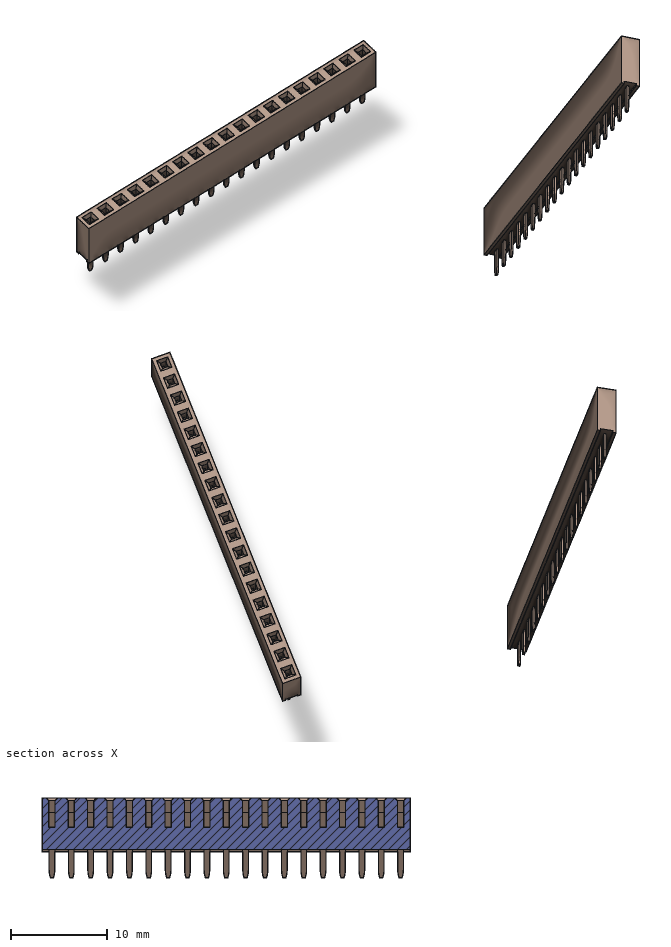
import cadquery as cq
import math

contact_count = 19
length = 38.0
width = 2.0
total_height = 8.3
pitch = length / contact_count

housing_height = 5.6
channel_width = 1.33
channel_depth = 0.23

mouth_size = 1.2
socket_size = 0.6
funnel_depth = 0.3
socket_depth = 3.05

contact_width = 0.6
contact_thickness = 0.2
blade_height = 1.52
tip_width = 0.32
tip_length = 0.85

contact_positions = [(0, (i - (contact_count - 1) / 2) * pitch) for i in range(contact_count)]
socket_floor = housing_height - socket_depth
pin_bottom = housing_height - total_height


def make_housing():
    """Long bar with a shallow lengthwise channel along its underside."""
    bar = cq.Workplane("XY").box(width, length, housing_height, centered=(True, True, False))
    channel = cq.Workplane("XY").box(channel_width, length, channel_depth, centered=(True, True, False))
    return bar.cut(channel)


def make_socket():
    """Cavity of one socket: a square funnel leading into a square well."""
    funnel = (
        cq.Workplane("XY", origin=(0, 0, housing_height))
        .rect(mouth_size, mouth_size)
        .workplane(offset=-funnel_depth)
        .rect(socket_size, socket_size)
        .loft(ruled=True)
    )
    well = cq.Workplane("XY", origin=(0, 0, socket_floor)).box(
        socket_size, socket_size, socket_depth - funnel_depth, centered=(True, True, False)
    )
    return funnel.union(well)


def make_contact():
    """Flat strip whose lower sides curve inward, tangent to the straight sides, to a narrow tip."""
    shoulder = pin_bottom + tip_length
    blade_top = socket_floor + blade_height
    taper = (contact_width - tip_width) / 2
    arc_radius = (tip_length**2 + taper**2) / (2 * taper)
    arc_half_angle = math.asin(tip_length / arc_radius) / 2
    arc_middle_y = contact_width / 2 - arc_radius * (1 - math.cos(arc_half_angle))
    arc_middle_z = shoulder - arc_radius * math.sin(arc_half_angle)
    return (
        cq.Workplane("YZ")
        .moveTo(-contact_width / 2, shoulder)
        .lineTo(-contact_width / 2, blade_top)
        .lineTo(contact_width / 2, blade_top)
        .lineTo(contact_width / 2, shoulder)
        .threePointArc((arc_middle_y, arc_middle_z), (tip_width / 2, pin_bottom))
        .lineTo(-tip_width / 2, pin_bottom)
        .threePointArc((-arc_middle_y, arc_middle_z), (-contact_width / 2, shoulder))
        .close()
        .extrude(contact_thickness / 2, both=True)
    )


def at_every_contact(shape):
    """Copies of a shape at all contact positions along the strip."""
    return cq.Workplane("XY").pushPoints(contact_positions).eachpoint(
        lambda location: shape.val().located(location)
    )


result = (
    make_housing()
    .cut(at_every_contact(make_socket()))
    .union(at_every_contact(make_contact()))
)